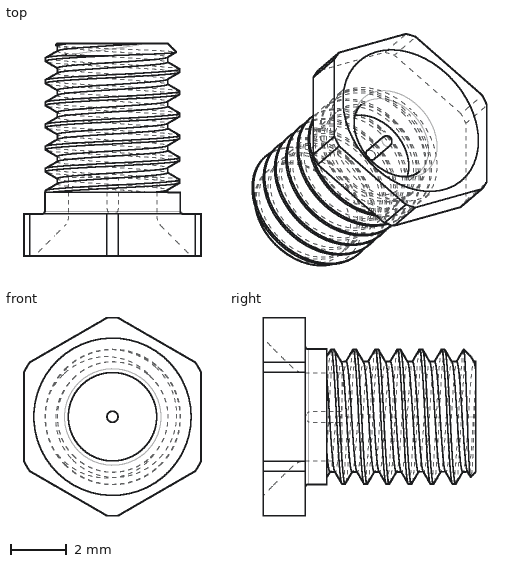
import cadquery as cq
import math

total_length = 7.62

across_flats = 6.35
across_corners = 7.11
head_length = 1.51

collar_end = 2.28
collar_radius = 2.43
collar_fillet = 0.1

thread_radius = 2.415
core_radius = 1.98
pitch = 0.79
crest_width = 0.11
flank_angle = math.radians(30)
thread_start = 1.89
tooth_overlap = 0.04

cone_mouth_radius = 2.82
bore_radius = 1.585
bore_depth = 2.82
throat_rounding = 0.495

pin_radius = 0.2
pin_tip = head_length


def disc(radius, start, end):
    """Cylinder on the Y axis between two positions."""
    plane = cq.Plane(origin=(0, start, 0), xDir=(1, 0, 0), normal=(0, 1, 0))
    return cq.Workplane(plane).circle(radius).extrude(end - start)


def revolve_about_y(profile):
    return profile.close().revolve(360, (0, 0, 0), (0, 1, 0))


def make_head():
    corner_diameter = across_flats / math.cos(math.radians(30))
    hexagon = (
        cq.Workplane("XZ")
        .transformed(rotate=(0, 0, 30))
        .polygon(6, corner_diameter)
        .extrude(-head_length)
    )
    return hexagon.intersect(disc(across_corners / 2, 0, head_length))


def make_collar():
    """Collar with a concave fillet where it meets the head."""
    arc_centre = (collar_radius + collar_fillet, head_length + collar_fillet)
    arc_reach = collar_fillet * math.sqrt(0.5)
    profile = (
        cq.Workplane("XY")
        .moveTo(0, head_length)
        .lineTo(arc_centre[0], head_length)
        .threePointArc(
            (arc_centre[0] - arc_reach, arc_centre[1] - arc_reach),
            (collar_radius, arc_centre[1]),
        )
        .lineTo(collar_radius, collar_end)
        .lineTo(0, collar_end)
    )
    return revolve_about_y(profile)


def make_thread():
    """Right-handed helical tooth, trimmed to a cylinder chamfered at the tip."""
    root_radius = core_radius - tooth_overlap
    half_crest = crest_width / 2
    half_root = half_crest + (thread_radius - root_radius) * math.tan(flank_angle)
    sweep_length = total_length - thread_start + pitch

    helix = cq.Wire.makeHelix(pitch, sweep_length, core_radius)
    tooth = (
        cq.Workplane("XZ")
        .moveTo(root_radius, -half_root)
        .lineTo(thread_radius, -half_crest)
        .lineTo(thread_radius, half_crest)
        .lineTo(root_radius, half_root)
        .close()
        .sweep(cq.Workplane(helix), isFrenet=True)
        .rotate((0, 0, 0), (1, 0, 0), -90)
        .translate((0, thread_start, 0))
    )
    envelope_radius = collar_radius + pitch
    envelope = disc(envelope_radius, head_length, total_length)
    envelope = envelope.faces(">Y").chamfer(envelope_radius - core_radius)
    return tooth.intersect(envelope)


def make_bore():
    cone_angle = math.radians(45)
    half_angle = cone_angle / 2
    throat_radius = bore_radius + throat_rounding * (1 - math.cos(cone_angle))
    throat_depth = cone_mouth_radius - throat_radius
    bore_start = throat_depth + throat_rounding * math.sin(cone_angle)
    profile = (
        cq.Workplane("XY")
        .lineTo(cone_mouth_radius, 0)
        .lineTo(throat_radius, throat_depth)
        .threePointArc(
            (
                bore_radius + throat_rounding * (1 - math.cos(half_angle)),
                bore_start - throat_rounding * math.sin(half_angle),
            ),
            (bore_radius, bore_start),
        )
        .lineTo(bore_radius, bore_depth)
        .lineTo(0, bore_depth)
    )
    return revolve_about_y(profile)


def make_pin():
    dome_centre = pin_tip + pin_radius
    shaft = disc(pin_radius, dome_centre, bore_depth + pin_radius)
    dome = cq.Workplane("XY").sphere(pin_radius).translate((0, dome_centre, 0))
    return shaft.union(dome)


core = disc(core_radius, head_length, total_length)
body = core.union(make_thread()).union(make_collar()).union(make_head())
result = body.cut(make_bore()).union(make_pin())